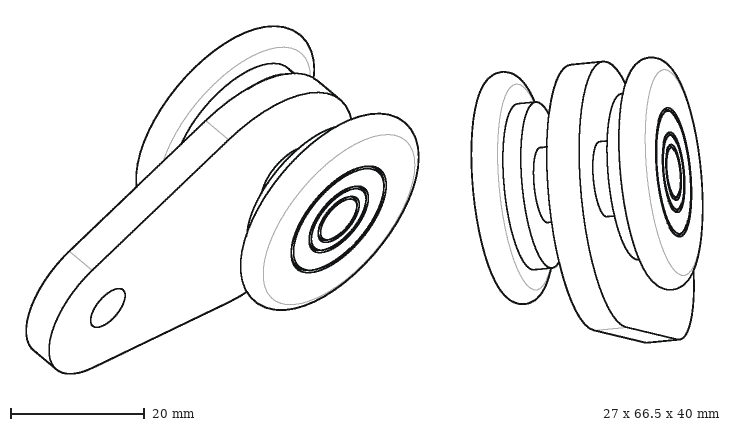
import cadquery as cq
import math

overall_width = 27.0
plate_thickness = 5.05

wheel_radius = 17.5
wheel_thickness = 4.0
hub_radius = 12.5
hub_thickness = 2.8
axle_radius = 5.65

large_end_radius = 20.0
large_end_y = -7.0
small_end_radius = 12.0
small_end_y = -36.95
hole_radius = 3.5

groove_outer_radii = [9.7, 6.05, 4.2]
groove_width = 0.45
groove_depth = groove_width / 2

half_width = overall_width / 2


def make_plate():
    """Plate with two round ends joined by straight tangent sides."""
    end_distance = large_end_y - small_end_y
    side_angle = math.asin((large_end_radius - small_end_radius) / end_distance)
    tangent_y = math.sin(side_angle)
    tangent_z = math.cos(side_angle)
    large_y = large_end_y - large_end_radius * tangent_y
    large_z = large_end_radius * tangent_z
    small_y = small_end_y - small_end_radius * tangent_y
    small_z = small_end_radius * tangent_z
    return (
        cq.Workplane("YZ")
        .moveTo(large_y, -large_z)
        .threePointArc((large_end_y + large_end_radius, 0), (large_y, large_z))
        .lineTo(small_y, small_z)
        .threePointArc((small_end_y - small_end_radius, 0), (small_y, -small_z))
        .close()
        .moveTo(small_end_y, 0)
        .circle(hole_radius)
        .extrude(plate_thickness / 2, both=True)
    )


def make_wheel():
    """Wheel on the +X side with a full-round rim, an inner hub and grooved outer face."""
    inner_face_x = half_width - wheel_thickness
    rim_radius = wheel_thickness / 2
    flat_radius = wheel_radius - rim_radius
    wheel = (
        cq.Workplane("XY")
        .moveTo(inner_face_x, 0)
        .lineTo(inner_face_x, flat_radius)
        .threePointArc((inner_face_x + rim_radius, wheel_radius), (half_width, flat_radius))
        .lineTo(half_width, 0)
        .close()
        .revolve(360, (0, 0, 0), (1, 0, 0))
    )
    hub = cq.Workplane("YZ", origin=(inner_face_x, 0, 0)).circle(hub_radius).extrude(-hub_thickness)
    wheel = wheel.union(hub)
    for outer_radius in groove_outer_radii:
        inner_radius = outer_radius - groove_width
        groove = (
            cq.Workplane("XY")
            .moveTo(half_width, inner_radius)
            .lineTo(half_width - groove_depth, outer_radius - groove_width / 2)
            .lineTo(half_width, outer_radius)
            .close()
            .revolve(360, (0, 0, 0), (1, 0, 0))
        )
        wheel = wheel.cut(groove)
    return wheel


def make_axle():
    """Axle through the plate, ending inside the two hubs."""
    axle_half_length = half_width - wheel_thickness
    return cq.Workplane("YZ").circle(axle_radius).extrude(axle_half_length, both=True)


wheel = make_wheel()
result = make_plate().union(make_axle()).union(wheel).union(wheel.mirror("YZ"))